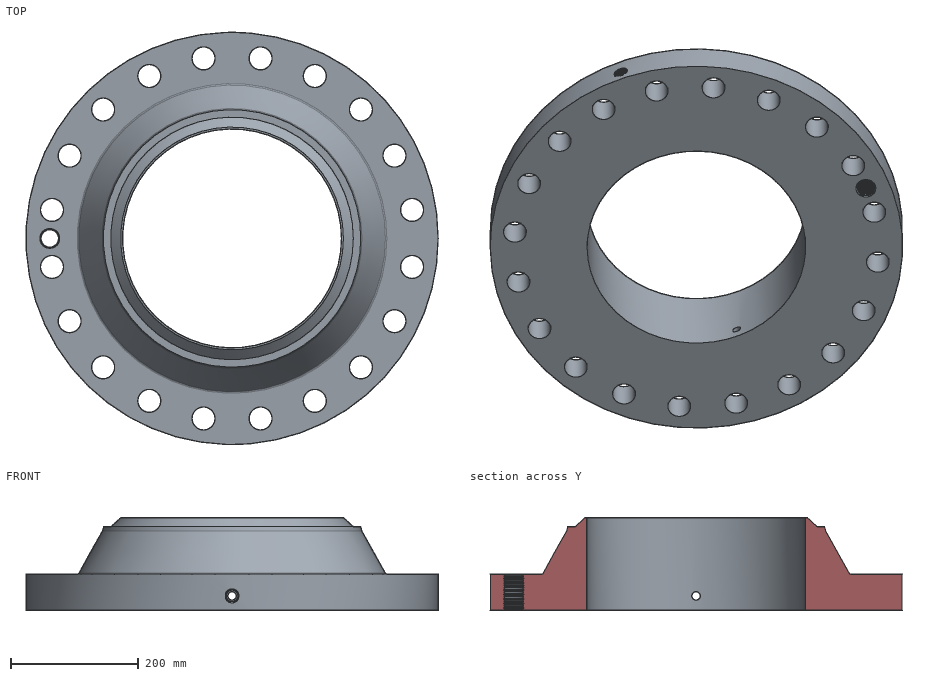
import cadquery as cq

flange_radius = 324.0
flange_thickness = 57.0
total_height = 146.0
bore_radius = 171.5
hub_base_radius = 241.5
hub_base_fillet = 2.5
shoulder_base_radius = 204.0
shoulder_base_z = 124.5
shoulder_edge_radius = 202.0
shoulder_z = 131.5
bevel_foot_radius = 190.5
bevel_top_radius = 175.0

bolt_count = 20
bolt_circle_radius = 286.0
bolt_hole_diameter = 35.5

jack_minor_radius = 13.5
jack_major_radius = 15.5
jack_pitch = 3.55

tap_z = 22.5
tap_drill_radius = 6.5
tap_minor_radius = 9.0
tap_major_radius = 11.0
tap_pitch = 2.0
tap_thread_depth = 35.0


def flange_body():
    profile = [
        (bore_radius, 0),
        (flange_radius, 0),
        (flange_radius, flange_thickness),
        (hub_base_radius, flange_thickness),
        (shoulder_base_radius, shoulder_base_z),
        (shoulder_edge_radius, shoulder_z),
        (bevel_foot_radius, shoulder_z),
        (bevel_top_radius, total_height),
        (bore_radius, total_height),
    ]
    body = cq.Workplane("XZ").polyline(profile).close().revolve(360, (0, 0, 0), (0, 1, 0))
    flange_top = body.faces("|Z").faces(">Z[-3]")
    hub_base_edge = flange_top.edges(cq.selectors.RadiusNthSelector(0))
    return hub_base_edge.fillet(hub_base_fillet)


def bolt_holes():
    half_step = 180 / bolt_count
    return (
        cq.Workplane("XY")
        .polarArray(bolt_circle_radius, half_step, 360, bolt_count)
        .circle(bolt_hole_diameter / 2)
        .extrude(flange_thickness)
    )


def thread_cutter(minor_radius, major_radius, pitch, depth):
    """Ring-grooved stand-in for a tapped hole, running from Z = 0 up to Z = depth."""
    turns = round(depth / pitch)
    turn_height = depth / turns
    profile = [(0, 0), (major_radius, 0)]
    for turn in range(turns):
        profile.append((minor_radius, (turn + 0.5) * turn_height))
        profile.append((major_radius, (turn + 1) * turn_height))
    profile.append((0, depth))
    return cq.Workplane("XZ").polyline(profile).close().revolve(360, (0, 0, 0), (0, 1, 0))


def jack_screw_hole():
    cutter = thread_cutter(jack_minor_radius, jack_major_radius, jack_pitch, flange_thickness)
    return cutter.translate((-bolt_circle_radius, 0, 0))


def pressure_tap():
    """Tap on the -Y side: threaded mouth at the rim, then a smaller drill into the bore."""
    thread = thread_cutter(tap_minor_radius, tap_major_radius, tap_pitch, tap_thread_depth)
    drill_length = flange_radius - bore_radius / 2
    drill = cq.Workplane("XY").circle(tap_drill_radius).extrude(drill_length)
    return thread.union(drill).rotate((0, 0, 0), (1, 0, 0), -90).translate((0, -flange_radius, tap_z))


tap = pressure_tap()
result = flange_body().cut(bolt_holes()).cut(jack_screw_hole())
result = result.cut(tap).cut(tap.mirror("XZ"))